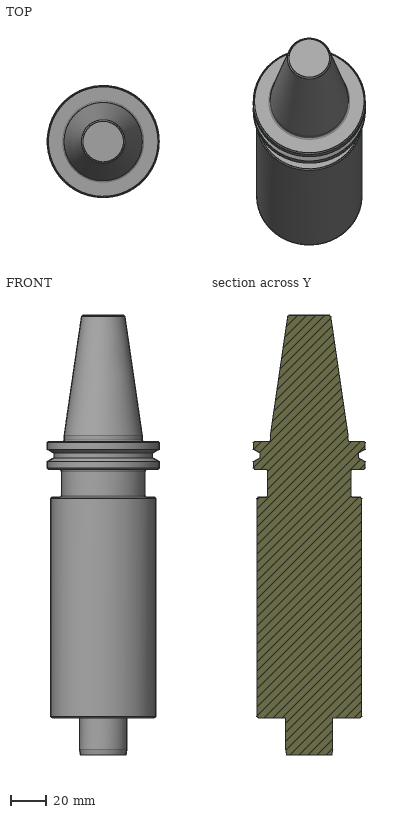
import cadquery as cq
import math


total_length = 249.2

taper_length = 68.3
gauge_radius = 44.4 / 2
taper_ratio = 7 / 24
tip_radius = gauge_radius - taper_length * taper_ratio / 2
tip_chamfer = 0.7
base_fillet = 0.7

flange_radius = 63.5 / 2
flange_top = -3.2
flange_height = 16.0
flange_bottom = flange_top - flange_height
flange_chamfer = 0.7
groove_floor_radius = 56.0 / 2
groove_center = flange_top - 8.0
groove_opening = 7.0
groove_flank_angle = math.radians(60)
groove_depth = flange_radius - groove_floor_radius
groove_floor = groove_opening - 2 * groove_depth / math.tan(groove_flank_angle)

neck_radius = 47.5 / 2
neck_fillet = 1.0
body_radius = 59.8 / 2
body_top = -35.0
body_top_chamfer = 0.7
body_bottom_chamfer = 1.0
pilot_radius = 27.0 / 2
pilot_length = 21.0
pilot_chamfer_width = 0.5
pilot_chamfer_height = 3.0
pilot_bottom = taper_length - total_length
body_bottom = pilot_bottom + pilot_length


def revolve_profile(points):
    """Turn a closed (radius, height) outline about the Z axis."""
    return cq.Workplane("XZ").polyline(points).close().revolve(360, (0, 0), (0, 1))


def cylinder(radius, bottom, top):
    return cq.Workplane("XY").workplane(offset=bottom).circle(radius).extrude(top - bottom)


def base_flare(shaft_radius, fillet, face_height, direction):
    """Disc with a concave fillet between a shaft and a flat face.

    The direction is +1 for a shaft above the face and -1 for a shaft below it.
    """
    arc_offset = fillet * (1 - math.sqrt(0.5))
    return (
        cq.Workplane("XZ")
        .moveTo(0, face_height)
        .lineTo(shaft_radius + fillet, face_height)
        .threePointArc(
            (shaft_radius + arc_offset, face_height + direction * arc_offset),
            (shaft_radius, face_height + direction * fillet),
        )
        .lineTo(0, face_height + direction * fillet)
        .close()
        .revolve(360, (0, 0), (0, 1))
    )


def make_taper():
    shoulder_radius = tip_radius + tip_chamfer * taper_ratio / 2
    taper = revolve_profile([
        (0, flange_top),
        (gauge_radius, flange_top),
        (gauge_radius, 0),
        (shoulder_radius, taper_length - tip_chamfer),
        (tip_radius - tip_chamfer, taper_length),
        (0, taper_length),
    ])
    return taper.union(base_flare(gauge_radius, base_fillet, flange_top, 1))


def make_flange():
    flange = cylinder(flange_radius, flange_bottom, flange_top)
    flange = flange.edges().chamfer(flange_chamfer)
    groove = revolve_profile([
        (groove_floor_radius, groove_center - groove_floor / 2),
        (flange_radius, groove_center - groove_opening / 2),
        (flange_radius, groove_center + groove_opening / 2),
        (groove_floor_radius, groove_center + groove_floor / 2),
    ])
    return flange.cut(groove)


def make_neck():
    neck = cylinder(neck_radius, body_top, flange_bottom)
    neck = neck.union(base_flare(neck_radius, neck_fillet, body_top, 1))
    return neck.union(base_flare(neck_radius, neck_fillet, flange_bottom, -1))


def make_body():
    body = cylinder(body_radius, body_bottom, body_top)
    body = body.faces(">Z").edges().chamfer(body_top_chamfer)
    return body.faces("<Z").edges().chamfer(body_bottom_chamfer)


def make_pilot():
    return revolve_profile([
        (0, pilot_bottom),
        (pilot_radius - pilot_chamfer_width, pilot_bottom),
        (pilot_radius, pilot_bottom + pilot_chamfer_height),
        (pilot_radius, body_bottom),
        (0, body_bottom),
    ])


result = make_taper().union(make_flange()).union(make_neck()).union(make_body()).union(make_pilot())